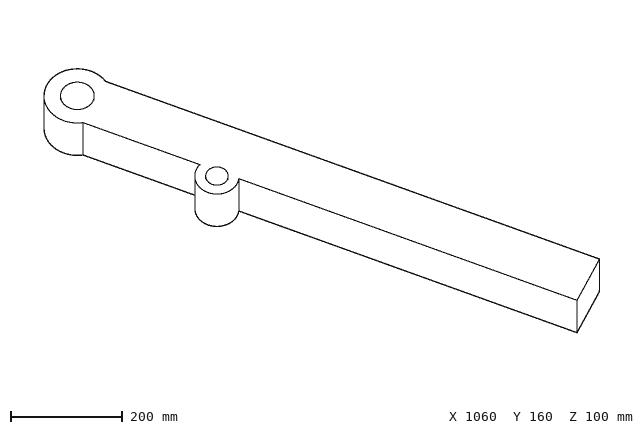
import cadquery as cq

overall_length = 1060.0
height = 100.0
arm_width = 100.0
pivot_outer_diameter = 120.0
pivot_hole_diameter = 60.0
lug_outer_diameter = 80.0
lug_hole_diameter = 40.0
lug_distance = 300.0
overall_width = 160.0

pivot_radius = pivot_outer_diameter / 2
lug_radius = lug_outer_diameter / 2
arm_end = overall_length - pivot_radius
lug_offset = overall_width - pivot_radius - lug_radius
lug_center = (lug_distance, -lug_offset)


def upright_cylinder(center, diameter):
    """Full-height cylinder along Z."""
    return cq.Workplane("XY").center(*center).circle(diameter / 2).extrude(height)


arm = cq.Workplane("XY").box(arm_end, arm_width, height, centered=(False, True, False))

pivot_center = (0, 0)
pivot_eye = upright_cylinder(pivot_center, pivot_outer_diameter)
lug = upright_cylinder(lug_center, lug_outer_diameter)

pivot_hole = upright_cylinder(pivot_center, pivot_hole_diameter)
lug_hole = upright_cylinder(lug_center, lug_hole_diameter)

result = arm.union(pivot_eye).union(lug).cut(pivot_hole).cut(lug_hole)